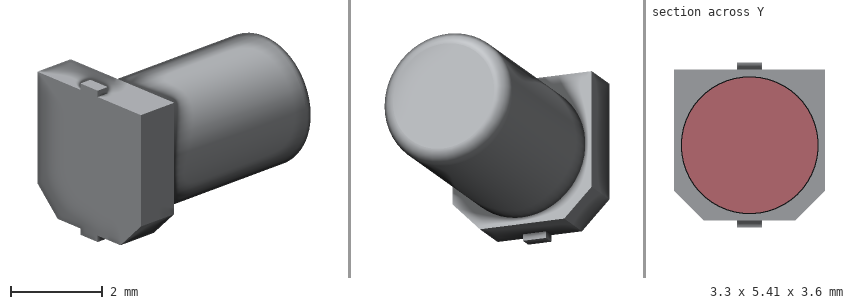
import cadquery as cq

total_length = 5.41
base_size = 3.3
base_thickness = 1.0
corner_chamfer = 0.65

can_diameter = 3.0
can_edge_radius = 0.3

tab_width = 0.55
tab_thickness = 0.3
tab_projection = 0.15

can_length = total_length - base_thickness
tab_span = base_size + 2 * tab_projection


def make_base():
    """Square plate with its front face on Y = 0 and its lower corners cut off."""
    plate = cq.Workplane("XY").box(base_size, base_thickness, base_size, centered=(True, False, True))
    return plate.faces("<Z").edges("|Y").chamfer(corner_chamfer)


def make_can():
    """Cylinder along +Y from the back of the base, with a rounded end rim."""
    can = (
        cq.Workplane("XZ", origin=(0, base_thickness, 0))
        .circle(can_diameter / 2)
        .extrude(-can_length)
    )
    return can.faces(">Y").edges().fillet(can_edge_radius)


def make_terminals():
    """Strip flush with the front face whose ends stick out as the two tabs."""
    return cq.Workplane("XY").box(tab_width, tab_thickness, tab_span, centered=(True, False, True))


result = make_base().union(make_can()).union(make_terminals())